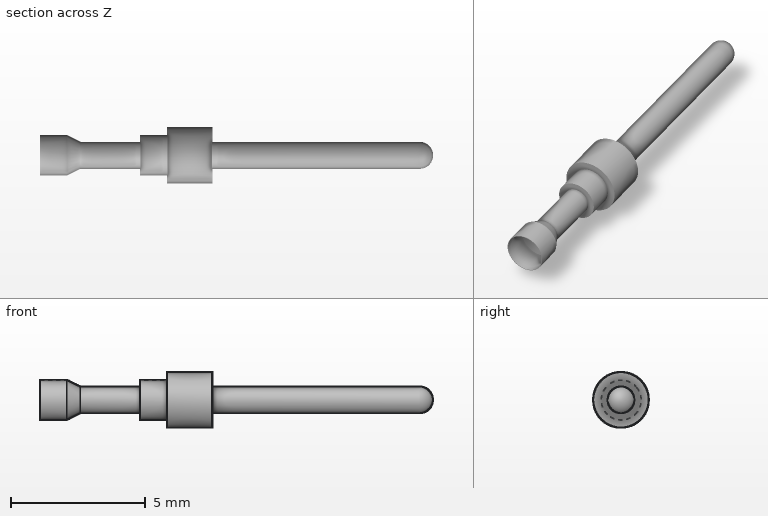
import cadquery as cq
import math

length = 14.58
wall = 0.022

pin_diameter = 1.0
sleeve_diameter = 1.5
collar_diameter = 2.08

mouth_end = 1.0
taper_end = 1.5
sleeve_start = 3.7
collar_start = 4.71
collar_end = 6.4

pin_radius = pin_diameter / 2
sleeve_radius = sleeve_diameter / 2
collar_radius = collar_diameter / 2
dome_center = length - pin_radius


def stepped_body(inset):
    """Revolve the pin outline, moved inward by inset everywhere except at the mouth plane."""
    pin = pin_radius - inset
    sleeve = sleeve_radius - inset
    collar = collar_radius - inset
    taper_angle = math.atan2(sleeve_radius - pin_radius, taper_end - mouth_end)
    taper_shift = inset * math.tan(taper_angle / 2)
    dome_middle = pin * math.cos(math.radians(45))

    outline = (
        cq.Workplane("XY")
        .moveTo(0, 0)
        .lineTo(0, sleeve)
        .lineTo(mouth_end - taper_shift, sleeve)
        .lineTo(taper_end - taper_shift, pin)
        .lineTo(sleeve_start + inset, pin)
        .lineTo(sleeve_start + inset, sleeve)
        .lineTo(collar_start + inset, sleeve)
        .lineTo(collar_start + inset, collar)
        .lineTo(collar_end - inset, collar)
        .lineTo(collar_end - inset, pin)
        .lineTo(dome_center, pin)
        .threePointArc((dome_center + dome_middle, dome_middle), (dome_center + pin, 0))
        .close()
    )
    return outline.revolve(360, (0, 0, 0), (1, 0, 0))


outer_body = stepped_body(0)
cavity = stepped_body(wall)
result = outer_body.cut(cavity)